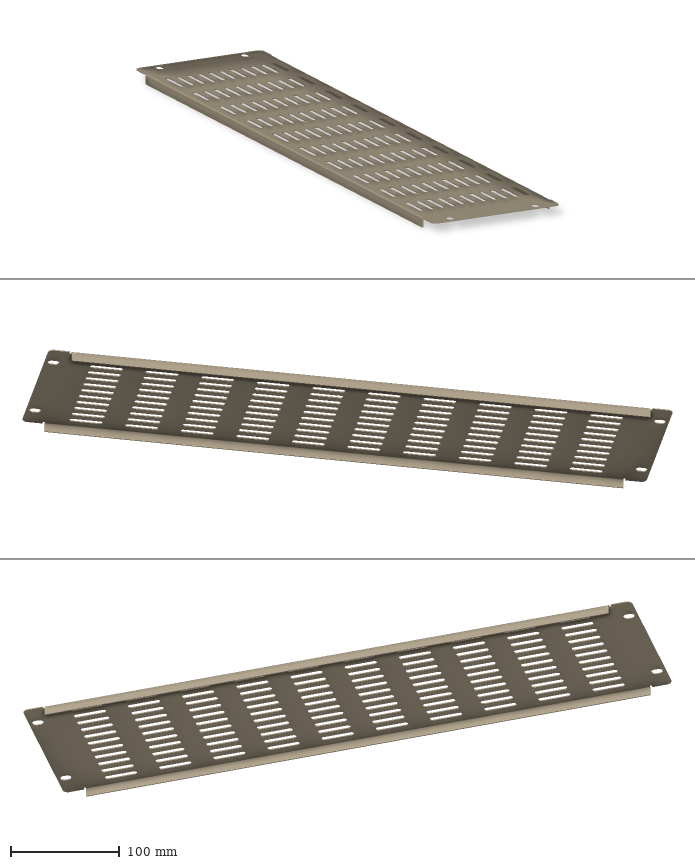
import cadquery as cq

PANEL_LENGTH = 584.2
PANEL_HEIGHT = 132.5
TOTAL_DEPTH = 9.7
SHEET_THICKNESS = 1.0
CORNER_RADIUS = 5.0

FLANGE_LENGTH = 541.4
BEND_INNER_RADIUS = 0.5
BEND_OUTER_RADIUS = BEND_INNER_RADIUS + SHEET_THICKNESS

RELIEF_WIDTH = 2.0
RELIEF_DEPTH = 3.0

MOUNT_COLUMNS = 2
MOUNT_ROWS = 2
MOUNT_SPACING_X = 567.5
MOUNT_SPACING_Y = 88.9
MOUNT_SLOT_LENGTH = 10.5
MOUNT_SLOT_WIDTH = 7.0

VENT_COLUMNS = 10
VENT_ROWS = 11
VENT_PITCH_X = 52.0
VENT_PITCH_Y = 11.0
VENT_LENGTH = 31.0
VENT_WIDTH = 4.7

HALF_HEIGHT = PANEL_HEIGHT / 2
SHEET_BOTTOM = -SHEET_THICKNESS


def make_sheet():
    """Flat sheet with rounded corners, its front face at Z = 0."""
    return (
        cq.Workplane("XY")
        .workplane(offset=SHEET_BOTTOM)
        .rect(PANEL_LENGTH, PANEL_HEIGHT)
        .extrude(SHEET_THICKNESS)
        .edges("|Z")
        .fillet(CORNER_RADIUS)
    )


def make_channel():
    """U-shaped section of the folded length: web, two bends and two flanges."""
    outer = (
        cq.Workplane("XY")
        .box(FLANGE_LENGTH, PANEL_HEIGHT, TOTAL_DEPTH, centered=(True, True, False))
        .translate((0, 0, -TOTAL_DEPTH))
        .edges("|X and >Z")
        .fillet(BEND_OUTER_RADIUS)
    )
    inner = (
        cq.Workplane("XY")
        .box(
            FLANGE_LENGTH,
            PANEL_HEIGHT - 2 * SHEET_THICKNESS,
            TOTAL_DEPTH - SHEET_THICKNESS,
            centered=(True, True, False),
        )
        .translate((0, 0, -TOTAL_DEPTH))
        .edges("|X and >Z")
        .fillet(BEND_INNER_RADIUS)
    )
    return outer.cut(inner)


def make_edge_clearance():
    """Bars that open the long sheet edges for the folded section and the relief notches."""
    clearance_length = FLANGE_LENGTH + 2 * RELIEF_WIDTH
    bars = cq.Workplane("XY").workplane(offset=SHEET_BOTTOM)
    bars = bars.pushPoints([(0, -HALF_HEIGHT), (0, HALF_HEIGHT)])
    return bars.rect(clearance_length, 2 * RELIEF_DEPTH).extrude(SHEET_THICKNESS)


def make_slots(columns, rows, pitch_x, pitch_y, length, width):
    """Centred grid of round-ended slots through the sheet, long along X."""
    return (
        cq.Workplane("XY")
        .workplane(offset=SHEET_BOTTOM)
        .rarray(pitch_x, pitch_y, columns, rows)
        .slot2D(length, width)
        .extrude(SHEET_THICKNESS)
    )


mount_slots = make_slots(
    MOUNT_COLUMNS, MOUNT_ROWS, MOUNT_SPACING_X, MOUNT_SPACING_Y, MOUNT_SLOT_LENGTH, MOUNT_SLOT_WIDTH
)
vent_slots = make_slots(
    VENT_COLUMNS, VENT_ROWS, VENT_PITCH_X, VENT_PITCH_Y, VENT_LENGTH, VENT_WIDTH
)

folded_panel = make_sheet().cut(make_edge_clearance()).union(make_channel())
result = folded_panel.cut(mount_slots).cut(vent_slots)